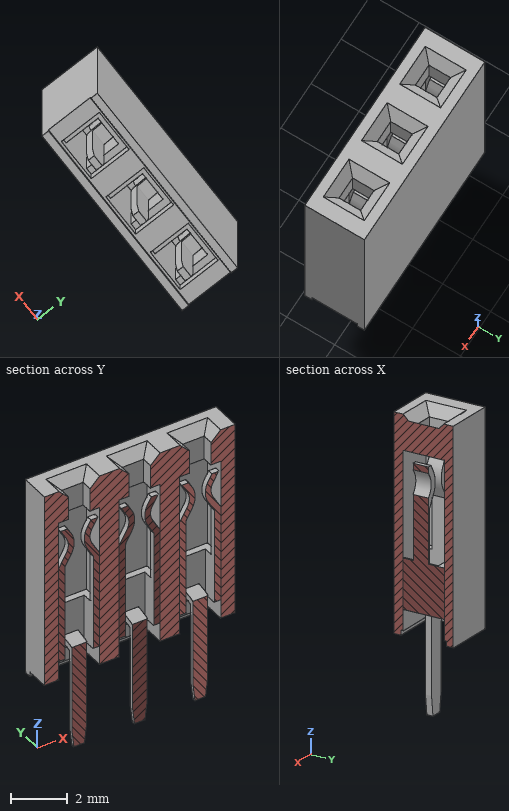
import cadquery as cq
import math

OVERALL_HEIGHT = 11.5
POSITIONS = 3
PITCH = 2.54

LENGTH = 8.02
WIDTH = 2.5
HEIGHT = 8.5
FOOT_HEIGHT = 0.2
FOOT_WIDTH = 0.3
MOUTH = 1.7
FUNNEL_DEPTH = 0.4
THROAT = MOUTH - 2 * FUNNEL_DEPTH
THROAT_LENGTH = 1.0
CHAMBER = MOUTH
CHAMBER_TOP = HEIGHT - FUNNEL_DEPTH - THROAT_LENGTH

SHEET = 0.26
TAIL_WIDTH = 0.64
TAIL_END = HEIGHT - OVERALL_HEIGHT
TIP_WIDTH = 0.46
TIP_LENGTH = 0.8
TAB_SLOPE = math.radians(12)
BEND_RADIUS = SHEET / (1 - math.sin(TAB_SLOPE))
BEND_Z = 1.15
CAGE_BOTTOM = 1.0
CAGE_TOP = 2.99
ARM_BACK = 0.21
ARM_WIDTH = TAIL_WIDTH
ARM_GAP = 0.4
ARM_LEAN = math.radians(30)
NOSE_RADIUS = 0.91
NOSE_Z = 5.98
ARM_FLARE = 0.97

CAGE_OUTER = CHAMBER / 2
CAGE_INNER = CAGE_OUTER - SHEET
POSITION_XS = [(i - (POSITIONS - 1) / 2) * PITCH for i in range(POSITIONS)]


def polar(center, radius, angle):
    """Point at a radius and angle around a center."""
    return (center[0] + radius * math.cos(angle), center[1] + radius * math.sin(angle))


def make_cavity():
    """Funnel, throat and chamber of one position, as a cutting shape."""
    funnel = (
        cq.Workplane("XY", origin=(0, 0, HEIGHT - FUNNEL_DEPTH))
        .rect(THROAT, THROAT)
        .workplane(offset=FUNNEL_DEPTH)
        .rect(MOUTH, MOUTH)
        .loft(ruled=True)
    )
    throat = cq.Workplane("XY").rect(THROAT, THROAT).extrude(HEIGHT - FUNNEL_DEPTH)
    chamber = cq.Workplane("XY").rect(CHAMBER, CHAMBER).extrude(CHAMBER_TOP)
    return chamber.union(throat).union(funnel)


def make_housing():
    """Block on two long feet, with one cavity per position."""
    body = cq.Workplane("XY").rect(LENGTH, WIDTH).extrude(HEIGHT)
    channel = cq.Workplane("XY").rect(LENGTH, WIDTH - 2 * FOOT_WIDTH).extrude(FOOT_HEIGHT)
    body = body.cut(channel)
    cavity = make_cavity()
    for x in POSITION_XS:
        body = body.cut(cavity.translate((x, 0, 0)))
    return body.solids()


def make_tail():
    """Solder tail with a tapered tip, bent at its top into a sloping tab toward the cage back."""
    front = -SHEET / 2
    bend_center = (front + BEND_RADIUS, BEND_Z)
    inner_radius = BEND_RADIUS - SHEET
    slope_normal = math.pi / 2 + TAB_SLOPE
    mid_normal = (math.pi + slope_normal) / 2
    outer_end = polar(bend_center, BEND_RADIUS, slope_normal)
    inner_end = polar(bend_center, inner_radius, slope_normal)

    def at_cage_back(start):
        """Where a sloping face of the tab meets the middle of the back plate."""
        back = CAGE_OUTER - SHEET / 2
        return (back, start[1] + (back - start[0]) * math.tan(TAB_SLOPE))

    side_profile = (
        cq.Workplane("YZ")
        .moveTo(front, TAIL_END)
        .lineTo(front, BEND_Z)
        .threePointArc(polar(bend_center, BEND_RADIUS, mid_normal), outer_end)
        .lineTo(*at_cage_back(outer_end))
        .lineTo(*at_cage_back(inner_end))
        .lineTo(*inner_end)
        .threePointArc(polar(bend_center, inner_radius, mid_normal), (front + SHEET, BEND_Z))
        .lineTo(front + SHEET, TAIL_END)
        .close()
        .extrude(TAIL_WIDTH / 2, both=True)
    )
    shoulder_z = TAIL_END + TIP_LENGTH
    front_outline = (
        cq.Workplane("XZ")
        .polyline([
            (-TIP_WIDTH / 2, TAIL_END),
            (TIP_WIDTH / 2, TAIL_END),
            (TAIL_WIDTH / 2, shoulder_z),
            (TAIL_WIDTH / 2, CAGE_TOP),
            (-TAIL_WIDTH / 2, CAGE_TOP),
            (-TAIL_WIDTH / 2, shoulder_z),
        ])
        .close()
        .extrude(CHAMBER, both=True)
    )
    return side_profile.intersect(front_outline)


def make_cage():
    """Back plate and two side plates lining the chamber, open to the front."""
    height = CAGE_TOP - CAGE_BOTTOM
    base = cq.Workplane("XY", origin=(0, 0, CAGE_BOTTOM))
    outside = base.rect(CHAMBER, CHAMBER).extrude(height)
    opening = (
        base.center(0, -SHEET / 2)
        .rect(2 * CAGE_INNER, CHAMBER - SHEET)
        .extrude(height)
    )
    return outside.cut(opening)


def make_arm():
    """Spring arm on the +X side: upright, leaning in to a rounded nose, then flaring out."""
    nose_center = (ARM_GAP / 2 + NOSE_RADIUS, NOSE_Z)
    back_radius = NOSE_RADIUS - SHEET
    upper = math.pi - ARM_LEAN
    lower = math.pi + ARM_LEAN
    face_upper = polar(nose_center, NOSE_RADIUS, upper)
    face_lower = polar(nose_center, NOSE_RADIUS, lower)
    back_upper = polar(nose_center, back_radius, upper)
    back_lower = polar(nose_center, back_radius, lower)
    rise = 1 / math.tan(ARM_LEAN)
    tip_x = ARM_FLARE / 2
    tip_z = face_upper[1] + (tip_x - face_upper[0]) * rise
    tip_back_x = back_upper[0] + (tip_z - back_upper[1]) / rise

    return (
        cq.Workplane("XZ", origin=(0, ARM_BACK, 0))
        .moveTo(CAGE_INNER, CAGE_BOTTOM)
        .lineTo(CAGE_INNER, face_lower[1] - (CAGE_INNER - face_lower[0]) * rise)
        .lineTo(*face_lower)
        .threePointArc(polar(nose_center, NOSE_RADIUS, math.pi), face_upper)
        .lineTo(tip_x, tip_z)
        .lineTo(tip_back_x, tip_z)
        .lineTo(*back_upper)
        .threePointArc(polar(nose_center, back_radius, math.pi), back_lower)
        .lineTo(CAGE_OUTER, back_lower[1] - (CAGE_OUTER - back_lower[0]) * rise)
        .lineTo(CAGE_OUTER, CAGE_BOTTOM)
        .close()
        .extrude(ARM_WIDTH)
    )


def make_contact():
    """Complete contact, one piece of bent sheet."""
    arm = make_arm()
    joined = make_cage().union(make_tail()).union(arm).union(arm.mirror("YZ"))
    return joined.solids()


housing = make_housing()
contact = make_contact()
contacts = [contact.translate((x, 0, 0)) for x in POSITION_XS]

result = cq.Compound.makeCompound([housing.val(), *[c.val() for c in contacts]])